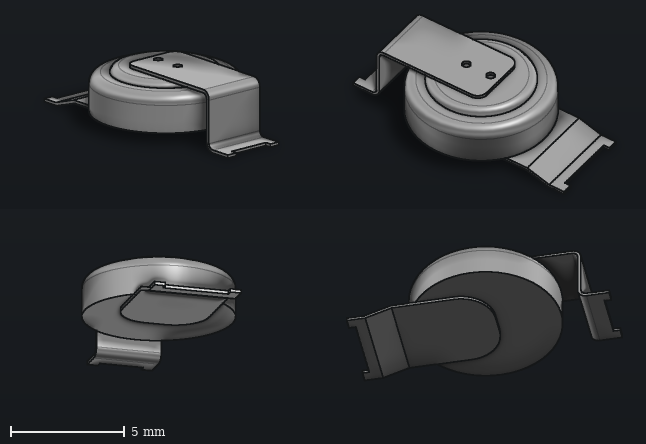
import cadquery as cq
import math

can_diameter = 6.8
can_height = 1.8
can_round = 0.5
cap_flat_radius = 2.1
cap_height = 0.3
cap_round = 0.4

sheet = 0.15
half_length = 5.85
foot_bottom = -0.54
notch_depth = 0.3
tab_start_x = -1.01

lower_width = 4.0
lower_notch_width = 3.0
lower_end_x = 0.54
lower_corner = lower_end_x - tab_start_x
ramp_low_x = -5.05
ramp_high_x = -3.87
ramp_miter_shift = 0.05

upper_width = 3.0
upper_notch_width = 2.0
upper_corner = 0.5
upper_wall_x = 4.59
bend_inner = 0.25
bend_outer = bend_inner + sheet
hole_diameter = 0.4
hole_positions = [(-0.5, 0), (0.8, 0)]

cap_top = can_height + cap_height
upper_top = cap_top + sheet
foot_top = foot_bottom + sheet


def coin_cell():
    """Can with a rounded shoulder and a domed-edge cap on top."""
    can = cq.Workplane("XY").circle(can_diameter / 2).extrude(can_height)
    can = can.faces(">Z").edges().fillet(can_round)

    def edge_radius(drop):
        return cap_flat_radius + math.sqrt(cap_round**2 - (cap_round - drop)**2)

    cap = (
        cq.Workplane("XZ")
        .moveTo(0, can_height)
        .lineTo(edge_radius(cap_height), can_height)
        .threePointArc(
            (edge_radius(cap_height / 2), cap_top - cap_height / 2),
            (cap_flat_radius, cap_top),
        )
        .lineTo(0, cap_top)
        .close()
        .revolve(360, (0, 0, 0), (0, 1, 0))
    )
    return can.union(cap)


def foot_notch(end_x, width):
    """Cutter for the rectangular notch in the end of a solder foot."""
    return cq.Workplane("XY").box(2 * notch_depth, width, 4 * sheet).translate(
        (end_x, 0, foot_bottom)
    )


def lower_terminal():
    """Strip under the can, ramping down to the -X foot."""
    profile = [
        (-half_length, foot_bottom),
        (ramp_low_x + ramp_miter_shift, foot_bottom),
        (ramp_high_x + ramp_miter_shift, -sheet),
        (lower_end_x, -sheet),
        (lower_end_x, 0),
        (ramp_high_x, 0),
        (ramp_low_x, foot_top),
        (-half_length, foot_top),
    ]
    strip = cq.Workplane("XZ").polyline(profile).close().extrude(lower_width / 2, both=True)
    strip = strip.faces(">X").edges("|Z").fillet(lower_corner)
    return strip.cut(foot_notch(-half_length, lower_notch_width))


def upper_terminal():
    """Strip on the cap, bent down beside the can to the +X foot."""
    wall_inner_x = upper_wall_x - sheet
    profile = [
        (tab_start_x, cap_top),
        (wall_inner_x, cap_top),
        (wall_inner_x, foot_bottom),
        (half_length, foot_bottom),
        (half_length, foot_top),
        (upper_wall_x, foot_top),
        (upper_wall_x, upper_top),
        (tab_start_x, upper_top),
    ]
    strip = cq.Workplane("XZ").polyline(profile).close().extrude(upper_width / 2, both=True)

    def bend_edge(x, z):
        return cq.selectors.NearestToPointSelector((x, 0, z))

    bends = [
        (wall_inner_x, cap_top, bend_inner),
        (upper_wall_x, upper_top, bend_outer),
        (upper_wall_x, foot_top, bend_inner),
        (wall_inner_x, foot_bottom, bend_outer),
    ]
    for x, z, radius in bends:
        strip = strip.edges("|Y").edges(bend_edge(x, z)).fillet(radius)

    strip = strip.faces("<X").edges("|Z").fillet(upper_corner)
    holes = (
        cq.Workplane("XY", origin=(0, 0, cap_top))
        .pushPoints(hole_positions)
        .circle(hole_diameter / 2)
        .extrude(sheet)
    )
    return strip.cut(holes).cut(foot_notch(half_length, upper_notch_width))


result = coin_cell().union(lower_terminal()).union(upper_terminal())